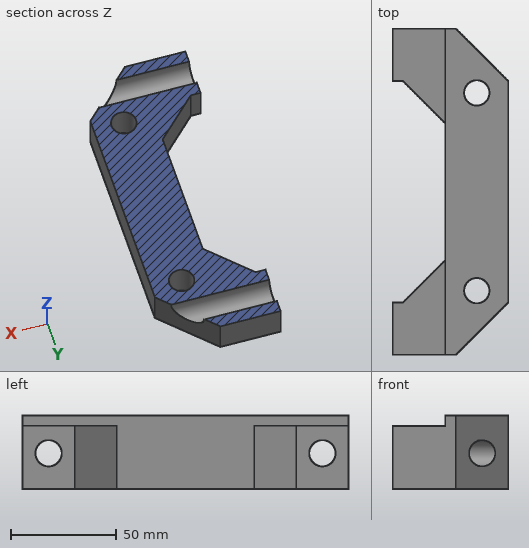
import cadquery as cq

depth = 55.0
length = 155.0
height = 35.0

arm_reach = 25.0
arm_width = 25.0
arm_height = 30.0
arm_tip_flat = 5.0
corner_chamfer = 25.0

bar_hole_diameter = 12.0
bar_hole_spacing = 94.0
arm_hole_diameter = 12.4
arm_hole_height = 17.0

half_length = length / 2
arm_inner_y = half_length - arm_width
slope_end_y = arm_inner_y - (arm_reach - arm_tip_flat)
bar_hole_x = (arm_reach + depth) / 2
arm_hole_y = half_length - arm_width / 2


def bracket_body():
    """C-shaped plate with sloped inner corners and chamfered outer corners."""
    upper_half = [
        (depth, half_length - corner_chamfer),
        (depth - corner_chamfer, half_length),
        (0, half_length),
        (0, arm_inner_y),
        (arm_tip_flat, arm_inner_y),
        (arm_reach, slope_end_y),
    ]
    lower_half = [(x, -y) for x, y in reversed(upper_half)]
    return cq.Workplane("XY").polyline(upper_half + lower_half).close().extrude(height)


def arm_step():
    """Material removed above the arms, leaving the main bar raised."""
    return cq.Workplane("XY").box(
        arm_reach, length, height - arm_height, centered=(False, True, False)
    ).translate((0, 0, arm_height))


def bar_holes():
    """Vertical through holes in the main bar."""
    return (
        cq.Workplane("XY")
        .pushPoints([(bar_hole_x, side * bar_hole_spacing / 2) for side in (-1, 1)])
        .circle(bar_hole_diameter / 2)
        .extrude(height)
    )


def arm_holes():
    """Through holes along X, from each arm tip out through the corner chamfer."""
    return (
        cq.Workplane("YZ")
        .pushPoints([(side * arm_hole_y, arm_hole_height) for side in (-1, 1)])
        .circle(arm_hole_diameter / 2)
        .extrude(depth)
    )


result = bracket_body().cut(arm_step()).cut(bar_holes()).cut(arm_holes())